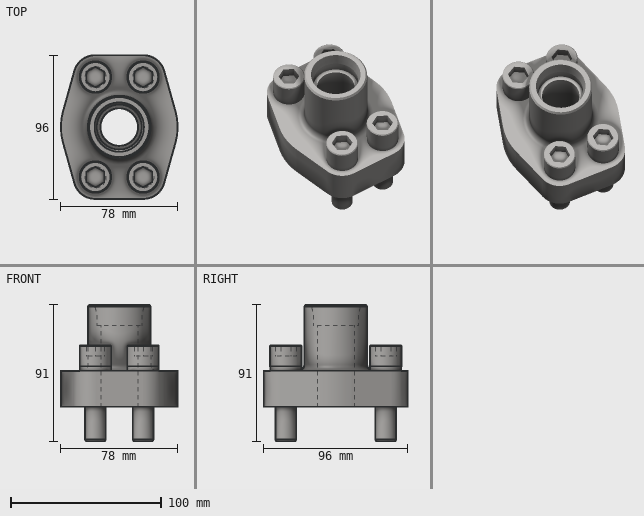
import cadquery as cq
import math

flange_length = 96.0
flange_thickness = 24.0
side_radius = 39.0

screw_spacing_x = 31.8
screw_spacing_y = 66.6
shank_diameter = 14.0
shank_tip_z = -23.0
tip_chamfer_height = 1.2
tip_chamfer_width = 0.8
head_diameter = 21.1
washer_diameter = 21.0
washer_thickness = 3.0
head_height = 14.0
head_edge_chamfer = 0.6
socket_across_flats = 12.0
socket_depth = 7.0

pipe_diameter = 42.0
pipe_top_z = 68.0
pipe_chamfer_height = 1.2
pipe_chamfer_width = 1.1
root_fillet = 4.0
through_bore_diameter = 25.0
counterbore_diameter = 30.0
counterbore_depth = 13.5
cone_mouth_diameter = 33.0
cone_half_angle = math.radians(12)

screw_x = screw_spacing_x / 2
screw_y = screw_spacing_y / 2
corner_radius = flange_length / 2 - screw_y


def make_flange():
    """Plate whose slanted edges are tangent to the side arcs and the corner arcs."""
    corner_distance = math.hypot(screw_x, screw_y)
    corner_direction = math.atan2(screw_y, screw_x)
    slant_direction = corner_direction - math.acos((side_radius - corner_radius) / corner_distance)
    corner_middle_direction = (slant_direction + math.pi / 2) / 2

    def corner_point(angle):
        return (screw_x + corner_radius * math.cos(angle), screw_y + corner_radius * math.sin(angle))

    side_x = side_radius * math.cos(slant_direction)
    side_y = side_radius * math.sin(slant_direction)
    slant_x, slant_y = corner_point(slant_direction)
    middle_x, middle_y = corner_point(corner_middle_direction)
    end_y = flange_length / 2

    outline = (
        cq.Workplane("XY")
        .moveTo(side_x, -side_y)
        .threePointArc((side_radius, 0), (side_x, side_y))
        .lineTo(slant_x, slant_y)
        .threePointArc((middle_x, middle_y), (screw_x, end_y))
        .lineTo(-screw_x, end_y)
        .threePointArc((-middle_x, middle_y), (-slant_x, slant_y))
        .lineTo(-side_x, side_y)
        .threePointArc((-side_radius, 0), (-side_x, -side_y))
        .lineTo(-slant_x, -slant_y)
        .threePointArc((-middle_x, -middle_y), (-screw_x, -end_y))
        .lineTo(screw_x, -end_y)
        .threePointArc((middle_x, -middle_y), (slant_x, -slant_y))
        .close()
    )
    return outline.extrude(flange_thickness)


def cylinder(diameter, bottom_z, top_z):
    return cq.Workplane("XY").workplane(offset=bottom_z).circle(diameter / 2).extrude(top_z - bottom_z)


def make_screw():
    """Socket head cap screw on a washer, on the Z axis."""
    washer_top_z = flange_thickness + washer_thickness
    head_top_z = washer_top_z + head_height
    shank = cylinder(shank_diameter, shank_tip_z, flange_thickness)
    shank = shank.faces("<Z").chamfer(tip_chamfer_height, tip_chamfer_width)
    washer = cylinder(washer_diameter, flange_thickness, washer_top_z)
    head = cylinder(head_diameter, washer_top_z, head_top_z).faces(">Z").chamfer(head_edge_chamfer)
    socket_across_corners = socket_across_flats / math.cos(math.pi / 6)
    socket = (
        cq.Workplane("XY")
        .workplane(offset=head_top_z - socket_depth)
        .transformed(rotate=(0, 0, 90))
        .polygon(6, socket_across_corners)
        .extrude(socket_depth)
    )
    return shank.union(washer).union(head.cut(socket))


def make_pipe():
    """Turned pipe with a chamfered rim and a concave fillet at the flange."""
    pipe_radius = pipe_diameter / 2
    fillet_top_z = flange_thickness + root_fillet
    fillet_centre_x = pipe_radius + root_fillet
    fillet_middle = (
        fillet_centre_x - root_fillet * math.cos(math.pi / 4),
        fillet_top_z - root_fillet * math.sin(math.pi / 4),
    )
    profile = (
        cq.Workplane("XZ")
        .lineTo(fillet_centre_x, 0)
        .lineTo(fillet_centre_x, flange_thickness)
        .threePointArc(fillet_middle, (pipe_radius, fillet_top_z))
        .lineTo(pipe_radius, pipe_top_z - pipe_chamfer_height)
        .lineTo(pipe_radius - pipe_chamfer_width, pipe_top_z)
        .lineTo(0, pipe_top_z)
        .close()
    )
    return profile.revolve(360, (0, 0), (0, 1))


def make_bore():
    """Through bore with a counterbore and a tapered mouth."""
    through_radius = through_bore_diameter / 2
    counterbore_radius = counterbore_diameter / 2
    mouth_radius = cone_mouth_diameter / 2
    counterbore_z = pipe_top_z - counterbore_depth
    cone_depth = (mouth_radius - counterbore_radius) / math.tan(cone_half_angle)
    profile = (
        cq.Workplane("XZ")
        .lineTo(through_radius, 0)
        .lineTo(through_radius, counterbore_z)
        .lineTo(counterbore_radius, counterbore_z)
        .lineTo(counterbore_radius, pipe_top_z - cone_depth)
        .lineTo(mouth_radius, pipe_top_z)
        .lineTo(0, pipe_top_z)
        .close()
    )
    return profile.revolve(360, (0, 0), (0, 1))


result = make_flange().union(make_pipe()).cut(make_bore())
screw = make_screw()
for x in (-screw_x, screw_x):
    for y in (-screw_y, screw_y):
        result = result.union(screw.translate((x, y, 0)))